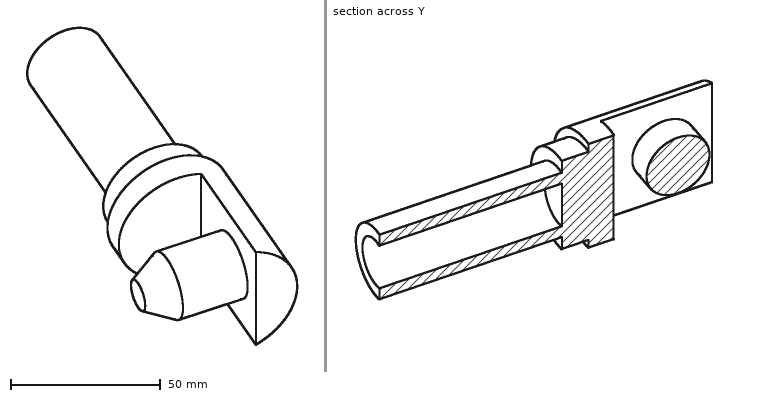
import cadquery as cq
import math

total_length = 132.4
tube_radius = 14.2
bore_radius = 9.4
flange_start = 69.2
flange_radius = 19.2
collar_start = 79.4
collar_radius = 22.5
bore_depth = flange_start

seat_y = 7.4
seat_start = 89.5
end_face_tilt = 2.3

pin_x = 113.5
pin_radius = 12.0
pin_shoulder_y = -16.5
pin_tip_y = -27.4
pin_tip_radius = 5.5

tilt_slope = math.tan(math.radians(end_face_tilt))


def x_cylinder(start, end, radius):
    return cq.Workplane("YZ", origin=(start, 0, 0)).circle(radius).extrude(end - start)


def tilted_x(x_at_seat, y):
    """X at a given Y on an end face that passes through x_at_seat on the seat."""
    return x_at_seat + (y - seat_y) * tilt_slope


def make_tongued_collar():
    tongue_end = total_length - (collar_radius - seat_y) * tilt_slope
    outline = [
        (collar_start, collar_radius),
        (total_length, collar_radius),
        (tongue_end, seat_y),
        (seat_start, seat_y),
        (tilted_x(seat_start, -collar_radius), -collar_radius),
        (collar_start, -collar_radius),
    ]
    profile = cq.Workplane("XY").polyline(outline).close().extrude(collar_radius, both=True)
    return x_cylinder(collar_start, total_length, collar_radius).intersect(profile)


def make_pin():
    root_y = (seat_y + collar_radius) / 2
    half_profile = [
        (pin_x, root_y),
        (pin_x + pin_radius, root_y),
        (pin_x + pin_radius, pin_shoulder_y),
        (pin_x + pin_tip_radius, pin_tip_y),
        (pin_x, pin_tip_y),
    ]
    return (
        cq.Workplane("XY")
        .polyline(half_profile)
        .close()
        .revolve(360, (pin_x, 0, 0), (pin_x, 1, 0))
    )


tube = x_cylinder(0, flange_start, tube_radius)
flange = x_cylinder(flange_start, collar_start, flange_radius)
bore = x_cylinder(0, bore_depth, bore_radius)

result = tube.union(flange).union(make_tongued_collar()).union(make_pin()).cut(bore)